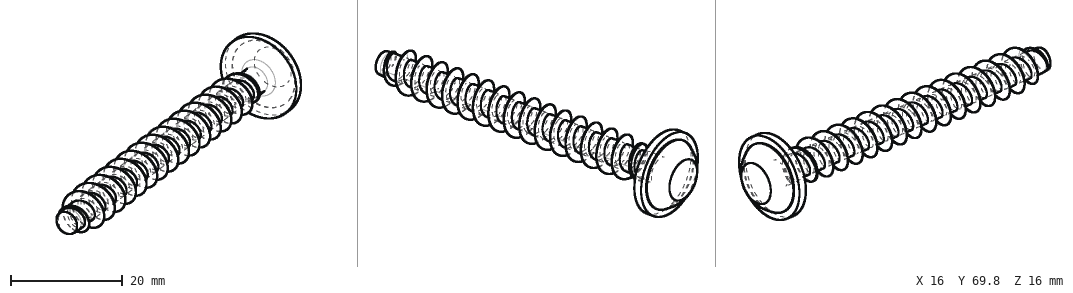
import math

import cadquery as cq


flange_diameter = 16.0
flange_thickness = 1.6
head_height = 4.8
dome_base_diameter = 13.2
dome_base_height = 0.2
dome_top_diameter = 7.8
dome_bulge = 0.27

screw_length = 65.0
shank_diameter = 5.1
shank_length = 4.0
head_fillet = 1.0
neck_length = 1.6
core_diameter = 4.65
tip_diameter = 4.4
tip_length = 1.2

thread_diameter = 8.0
thread_pitch = 3.59
crest_width = 0.1
flank_angle = 15.0
root_radius = 1.9
start_crest_radius = 2.95
run_in_turns = 1.25
full_turns = 14.25
run_out_turns = 1.35
end_crest_radius = 2.25
points_per_turn = 24

full_crest_radius = thread_diameter / 2
flank_slope = math.tan(math.radians(flank_angle))


def make_body():
    """Head, shank, core and tip as one turned solid."""
    shank_radius = shank_diameter / 2
    core_radius = core_diameter / 2
    dome_base_radius = dome_base_diameter / 2
    dome_top_radius = dome_top_diameter / 2
    dome_start = flange_thickness + dome_base_height
    fillet_outer_radius = shank_radius + head_fillet
    fillet_inset = head_fillet * (1 - math.sqrt(0.5))

    chord_r = dome_base_radius - dome_top_radius
    chord_y = head_height - dome_start
    chord = math.hypot(chord_r, chord_y)
    dome_mid = (
        (dome_base_radius + dome_top_radius) / 2 + dome_bulge * chord_y / chord,
        (dome_start + head_height) / 2 + dome_bulge * chord_r / chord,
    )

    return (
        cq.Workplane("XY")
        .moveTo(0, -screw_length)
        .lineTo(tip_diameter / 2, -screw_length)
        .lineTo(core_radius, -screw_length + tip_length)
        .lineTo(core_radius, -shank_length - neck_length)
        .lineTo(shank_radius, -shank_length)
        .lineTo(shank_radius, -head_fillet)
        .threePointArc((shank_radius + fillet_inset, -fillet_inset), (fillet_outer_radius, 0))
        .lineTo(flange_diameter / 2, 0)
        .lineTo(flange_diameter / 2, flange_thickness)
        .lineTo(dome_base_radius, flange_thickness)
        .lineTo(dome_base_radius, dome_start)
        .threePointArc(dome_mid, (dome_top_radius, head_height))
        .lineTo(0, head_height)
        .close()
        .revolve(360, (0, 0, 0), (0, 1, 0))
        .val()
    )


def thread_section(turn):
    """Four corners of the thread profile after a number of turns, starting from -Z."""
    run_out_start = run_in_turns + full_turns
    crest_radius = full_crest_radius
    half_crest = crest_width / 2
    if turn < run_in_turns:
        rise = turn / run_in_turns
        crest_radius = start_crest_radius + rise * (full_crest_radius - start_crest_radius)
        half_crest += (full_crest_radius - crest_radius) * flank_slope
    elif turn > run_out_start:
        fall = (turn - run_out_start) / run_out_turns
        crest_radius = full_crest_radius - fall * (full_crest_radius - end_crest_radius)
    half_root = half_crest + (crest_radius - root_radius) * flank_slope

    angle = 2 * math.pi * turn
    middle = -shank_length - thread_pitch * turn
    corners = (
        (root_radius, half_root),
        (crest_radius, half_crest),
        (crest_radius, -half_crest),
        (root_radius, -half_root),
    )
    return [
        cq.Vector(radius * math.sin(angle), middle + offset, -radius * math.cos(angle))
        for radius, offset in corners
    ]


def thread_faces(start_turn, turns):
    """Helical faces between the four corner curves over one stretch of the thread."""
    steps = math.ceil(turns * points_per_turn)
    sections = [thread_section(start_turn + turns * step / steps) for step in range(steps + 1)]
    curves = [cq.Edge.makeSpline(list(path)) for path in zip(*sections)]
    following = curves[1:] + curves[:1]
    return [cq.Face.makeRuledSurface(one, other) for one, other in zip(curves, following)]


def end_face(turn):
    """Flat face closing the thread."""
    return cq.Face.makeFromWires(cq.Wire.makePolygon(thread_section(turn), close=True))


def make_thread():
    """Right-handed thread as a closed solid, sewn from its three stretches."""
    faces = []
    turn = 0.0
    for turns in (run_in_turns, full_turns, run_out_turns):
        faces += thread_faces(turn, turns)
        turn += turns
    faces += [end_face(0.0), end_face(turn)]
    thread = cq.Solid.makeSolid(cq.Shell.makeShell(faces))
    return thread.fix()


result = cq.Workplane("XY").newObject([make_body().fuse(make_thread())])